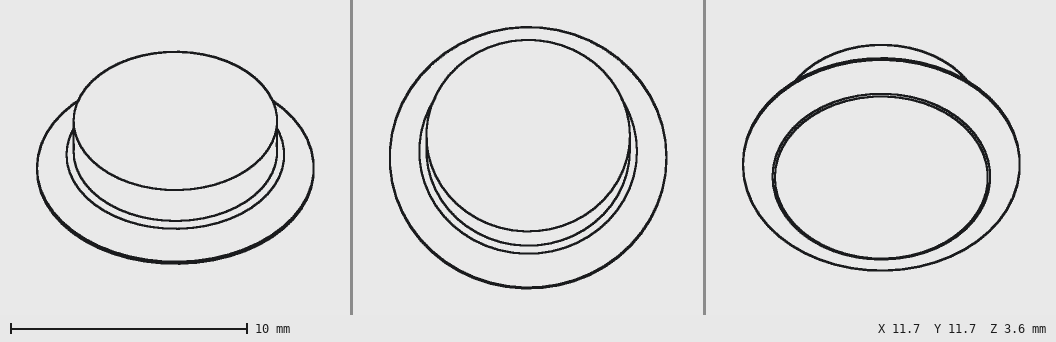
import cadquery as cq
import math

total_height = 3.6
neck_diameter = 8.6
core_diameter = 9.2
ring_diameter = 11.7
rim_height = 0.12
rim_mid_height = 0.85
cone_angle = 30.5

slope = math.tan(math.radians(cone_angle))
neck_radius = neck_diameter / 2
core_radius = core_diameter / 2
ring_radius = ring_diameter / 2
rim_bottom = rim_mid_height - rim_height / 2
rim_top = rim_mid_height + rim_height / 2
ring_rise = (ring_radius - core_radius) * slope
seat_bottom = rim_bottom - ring_rise
seat_top = rim_top + ring_rise
base_radius = core_radius - seat_bottom / slope
neck_bottom = seat_top + (core_radius - neck_radius) * slope


def revolve_profile(points):
    """Turn a closed (radius, height) outline around the Z axis."""
    return cq.Workplane("XZ").polyline(points).close().revolve(360, (0, 0), (0, 1))


def make_plug():
    """Solid core with conical edges and a plain neck on top."""
    return revolve_profile([
        (0, 0),
        (base_radius, 0),
        (core_radius, seat_bottom),
        (core_radius, seat_top),
        (neck_radius, neck_bottom),
        (neck_radius, total_height),
        (0, total_height),
    ])


def make_ring():
    """Wedge-shaped ring around the core, continuing its conical edges."""
    return revolve_profile([
        (core_radius, seat_bottom),
        (ring_radius, rim_bottom),
        (ring_radius, rim_top),
        (core_radius, seat_top),
    ])


plug = make_plug()
ring = make_ring()

result = cq.Compound.makeCompound([plug.val(), ring.val()])